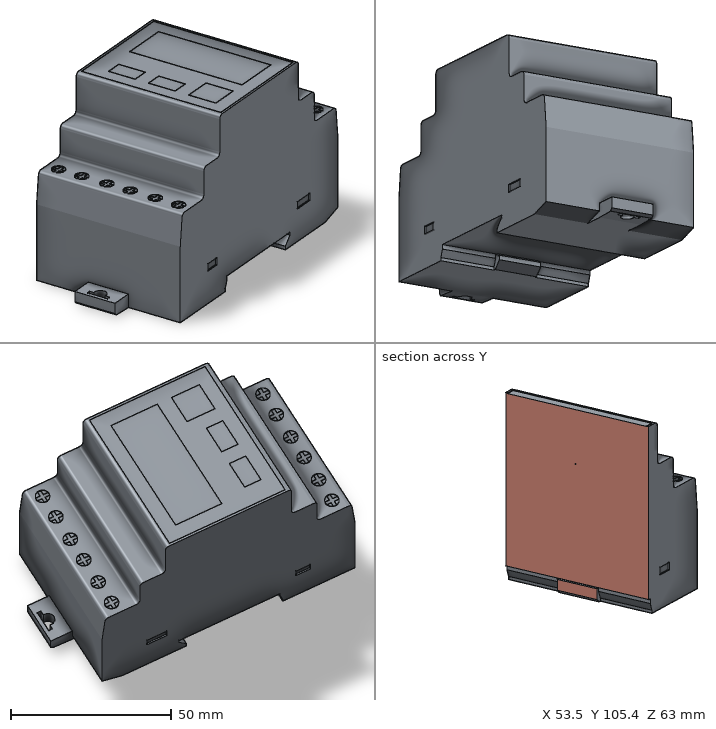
import cadquery as cq

overall_length = 105.4
width = 53.5
height = 63.0
body_half = 45.0
step_half = 31.5
top_half = 22.4
step_z = 48.7
shoulder_z = 37.7
taper_start_z = 26.6
taper_inset = 1.2
edge_radius = 1.5

rail_roof_z = 5.1
hook_root_y = 17.6
hook_root_z = 4.1
hook_tip_y = 15.0
hook_tip_z = 1.3
channel_end_y = -18.3
channel_end_z = 3.6
channel_mouth_y = -19.3
channel_mouth_z = 1.1
relief_length = 7.3
relief_height = 2.2

foot_width = 15.0
foot_top_z = 4.7
foot_tip_z = 0.3
foot_chamfer = 0.8
foot_root_y = 21.1
foot_tip_y = overall_length / 2

latch_neck_y = -17.0
latch_nose_y = -16.0
latch_base_y = -18.5
latch_top_z = 4.0
latch_nose_z = 2.5

keyhole_bar_length = 7.5
keyhole_bar_width = 1.3
keyhole_edge_gap = 1.4
keyhole_depth = 3.9
keyhole_radius = 2.1

screw_diameter = 4.5
screw_y = 39.2
screw_pair_pitch = 18.0
screw_spacing = 8.6
screw_recess = 0.2
cross_width = 1.2
cross_depth = 0.2

panel_length_x = 51.8
panel_length_y = 41.1
panel_recess = 0.1
window_recess = 0.1
window_right_x = 21.0
display_size = (41.8, 16.4)
display_centre_y = 7.4
key_size = (9.9, 5.8)
key_centres_x = (-14.0, 0.8)
large_key_size = (10.1, 9.9)
key_bottom_y = -15.8

side_marks = ((25.5, 7.1), (-26.6, 5.2))
side_mark_height = 2.5
side_mark_centre_z = 12.6
side_mark_depth = 0.5


def prism_x(points, length):
    """Solid from a (Y, Z) outline, extruded symmetrically along X."""
    return cq.Workplane("YZ").polyline(points).close().extrude(length / 2, both=True)


def box_on_floor(size, depth, x, y, top_z):
    """Box with its top face at top_z, for cutting downwards from a face."""
    return (
        cq.Workplane("XY", origin=(x, y, top_z))
        .rect(*size)
        .extrude(-depth)
    )


def make_housing():
    upper_right = [
        (body_half, taper_start_z),
        (body_half - taper_inset, shoulder_z),
        (step_half, shoulder_z),
        (step_half, step_z),
        (top_half, step_z),
        (top_half, height),
    ]
    upper_left = [(-y, z) for y, z in reversed(upper_right)]
    underside = [
        (-body_half, 0),
        (channel_mouth_y, 0),
        (channel_mouth_y, channel_mouth_z),
        (channel_end_y, channel_end_z),
        (channel_end_y, rail_roof_z),
        (hook_root_y, rail_roof_z),
        (hook_root_y, hook_root_z),
        (hook_tip_y, hook_tip_z),
        (hook_tip_y, 0),
        (body_half - relief_length, 0),
        (body_half, relief_height),
    ]
    block = prism_x(upper_right + upper_left + underside, width)
    step_corners = cq.selectors.BoxSelector(
        (-width, -body_half, shoulder_z - edge_radius),
        (width, body_half, height + edge_radius),
    )
    return block.edges("|X").edges(step_corners).fillet(edge_radius)


def make_foot_outline(root):
    """Foot outline on the +Y side, with the given points at its inner end."""
    return root + [
        (body_half, 0),
        (foot_tip_y - foot_chamfer, foot_tip_z),
        (foot_tip_y, foot_tip_z + foot_chamfer),
        (foot_tip_y, foot_top_z),
    ]


def make_keyhole():
    bar_outer_y = foot_tip_y - keyhole_edge_gap
    bar = box_on_floor(
        (keyhole_bar_length, keyhole_bar_width),
        foot_top_z,
        0,
        bar_outer_y - keyhole_bar_width / 2,
        foot_top_z,
    )
    arc_centre_y = bar_outer_y - keyhole_depth + keyhole_radius
    neck_length = bar_outer_y - arc_centre_y
    neck = box_on_floor(
        (2 * keyhole_radius, neck_length),
        foot_top_z,
        0,
        arc_centre_y + neck_length / 2,
        foot_top_z,
    )
    round_end = (
        cq.Workplane("XY", origin=(0, arc_centre_y, 0))
        .circle(keyhole_radius)
        .extrude(foot_top_z)
    )
    tip_side = box_on_floor(
        (keyhole_bar_length, foot_top_z),
        foot_top_z,
        0,
        bar_outer_y + foot_top_z / 2,
        foot_top_z,
    )
    return bar.union(neck).union(round_end).cut(tip_side)


def make_feet():
    plain_root = [(foot_root_y, foot_top_z), (foot_root_y, 0)]
    latch_root = [
        (-latch_neck_y, foot_top_z),
        (-latch_neck_y, latch_top_z),
        (-latch_nose_y, latch_top_z),
        (-latch_nose_y, latch_nose_z),
        (-latch_base_y, 0),
    ]
    keyhole = make_keyhole()
    rear = prism_x(make_foot_outline(plain_root), foot_width).cut(keyhole)
    front = prism_x(make_foot_outline(latch_root), foot_width).cut(keyhole)
    return rear, front.mirror("XZ")


def make_screw_cutter():
    """Screw recess with a deeper cross reaching its rim, top face at Z = 0."""
    head = cq.Workplane("XY").circle(screw_diameter / 2).extrude(-screw_recess)
    full_depth = screw_recess + cross_depth
    arm_x = box_on_floor((screw_diameter, cross_width), full_depth, 0, 0, 0)
    arm_y = box_on_floor((cross_width, screw_diameter), full_depth, 0, 0, 0)
    rim = cq.Workplane("XY").circle(screw_diameter / 2).extrude(-full_depth)
    return head.union(arm_x.union(arm_y).intersect(rim))


def cut_screws(body):
    cutter = make_screw_cutter()
    for y in (-screw_y, screw_y):
        for pair in (-1, 0, 1):
            for side in (-0.5, 0.5):
                x = pair * screw_pair_pitch + side * screw_spacing
                body = body.cut(cutter.translate((x, y, shoulder_z)))
    return body


def cut_panel(body):
    body = body.cut(
        box_on_floor((panel_length_x, panel_length_y), panel_recess, 0, 0, height)
    )
    windows = [
        (display_size, window_right_x - display_size[0] / 2, display_centre_y),
        (
            large_key_size,
            window_right_x - large_key_size[0] / 2,
            key_bottom_y + large_key_size[1] / 2,
        ),
    ]
    for x in key_centres_x:
        windows.append((key_size, x, key_bottom_y + key_size[1] / 2))
    floor_z = height - panel_recess
    for size, x, y in windows:
        body = body.cut(box_on_floor(size, window_recess, x, y, floor_z))
    return body


def cut_side_marks(body):
    for y, length in side_marks:
        for side in (-1, 1):
            mark = cq.Workplane("XY").box(2 * side_mark_depth, length, side_mark_height)
            body = body.cut(mark.translate((side * width / 2, y, side_mark_centre_z)))
    return body


rear_foot, front_foot = make_feet()
housing = make_housing().union(rear_foot).union(front_foot)
housing = cut_screws(housing)
housing = cut_panel(housing)
result = cut_side_marks(housing)